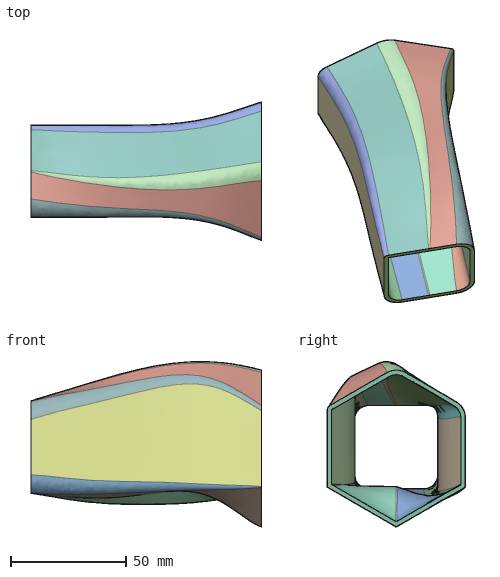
import cadquery as cq
import math

length = 100.0
wall = 2.0
half_square = 20.0
half_flats = 30.0
hex_radius = half_flats / math.cos(math.radians(30))
hex_side_z = hex_radius / 2
sharp = 0.3

stations = [0.0, 12.5, 25.0, 50.0, 75.0, 88.0, length]

front_top = [
    (-half_square, half_square, 8.0),
    (-20.0, 21.8, 6.2),
    (-20.0, 23.6, 5.0),
    (-19.8, 28.2, 3.5),
    (-21.8, 29.5, 2.5),
    (-25.4, 24.7, 2.0),
    (-half_flats, hex_side_z, 1.5),
]
top_ridge = [
    (0.0, half_square, sharp),
    (-2.1, 24.0, 1.0),
    (-3.8, 27.9, 1.5),
    (-5.0, 35.3, 3.2),
    (-3.2, 38.4, 4.6),
    (-1.5, 37.3, 4.6),
    (0.0, hex_radius, 4.7),
]
back_top = [
    (half_square, half_square, 2.0),
    (20.0, 18.8, 2.7),
    (20.0, 17.9, 3.3),
    (20.0, 17.3, 4.0),
    (22.5, 16.6, 4.5),
    (26.0, 17.3, 4.6),
    (half_flats, hex_side_z, 4.6),
]
back_bottom = [
    (half_square, -half_square, 8.0),
    (20.0, -22.6, 8.0),
    (20.0, -25.0, 8.0),
    (20.0, -27.2, 8.0),
    (22.5, -24.7, 6.0),
    (26.0, -20.8, 3.0),
    (half_flats, -hex_side_z, sharp),
]
bottom_ridge = [
    (0.0, -half_square, sharp),
    (0.0, -21.3, sharp),
    (0.0, -22.0, sharp),
    (0.0, -20.3, sharp),
    (0.0, -20.5, sharp),
    (0.0, -27.2, sharp),
    (0.0, -hex_radius, sharp),
]
front_bottom = [
    (-half_square, -half_square, 8.0),
    (-20.0, -19.9, 6.8),
    (-20.0, -19.8, 5.5),
    (-19.8, -19.2, 4.2),
    (-21.6, -18.3, 2.3),
    (-25.4, -17.8, 1.3),
    (-half_flats, -hex_side_z, sharp),
]
long_edges = [front_top, top_ridge, back_top, back_bottom, bottom_ridge, front_bottom]


def direction(start, end):
    """Unit vector from one corner to the next."""
    dy = end[0] - start[0]
    dz = end[1] - start[1]
    size = math.hypot(dy, dz)
    return dy / size, dz / size


def inset(corners, distance):
    """Move every side of the clockwise outline inward, keeping its rounds concentric."""
    moved = []
    for i, (y, z, setback) in enumerate(corners):
        before = direction(corners[i - 1], (y, z))
        after = direction((y, z), corners[(i + 1) % len(corners)])
        cosine = before[0] * after[0] + before[1] * after[1]
        turn = before[1] * after[0] - before[0] * after[1]
        half_tangent = turn / (1 + cosine)
        shift_y = distance * (before[1] + after[1]) / (1 + cosine)
        shift_z = -distance * (before[0] + after[0]) / (1 + cosine)
        new_setback = max(setback - distance * half_tangent, sharp)
        moved.append((y + shift_y, z + shift_z, new_setback))
    return moved


def rounded_outline(x, corners):
    """Closed wire at station x: straight sides joined by tangent arcs."""
    edges = []
    previous_end = None
    first_start = None
    for i, (y, z, setback) in enumerate(corners):
        before = direction(corners[i - 1], (y, z))
        after = direction((y, z), corners[(i + 1) % len(corners)])
        start = cq.Vector(x, y - before[0] * setback, z - before[1] * setback)
        end = cq.Vector(x, y + after[0] * setback, z + after[1] * setback)
        chord_middle = (start + end) * 0.5
        to_corner = cq.Vector(x, y, z) - chord_middle
        cosine = before[0] * after[0] + before[1] * after[1]
        half_cosine = math.sqrt((1 + cosine) / 2)
        middle = chord_middle + to_corner * (half_cosine / (1 + half_cosine))
        if previous_end is None:
            first_start = start
        else:
            edges.append(cq.Edge.makeLine(previous_end, start))
        if to_corner.Length < 1e-06:
            edges.append(cq.Edge.makeLine(start, end))
        else:
            edges.append(cq.Edge.makeThreePointArc(start, middle, end))
        previous_end = end
    edges.append(cq.Edge.makeLine(previous_end, first_start))
    return cq.Wire.assembleEdges(edges)


def lofted_body(distance):
    """Smooth solid through all stations, inset by the given distance."""
    wires = []
    for i, x in enumerate(stations):
        corners = [edge[i] for edge in long_edges]
        if distance > 0:
            corners = inset(corners, distance)
        wires.append(rounded_outline(x, corners))
    return cq.Workplane(cq.Solid.makeLoft(wires))


result = lofted_body(0.0).cut(lofted_body(wall))